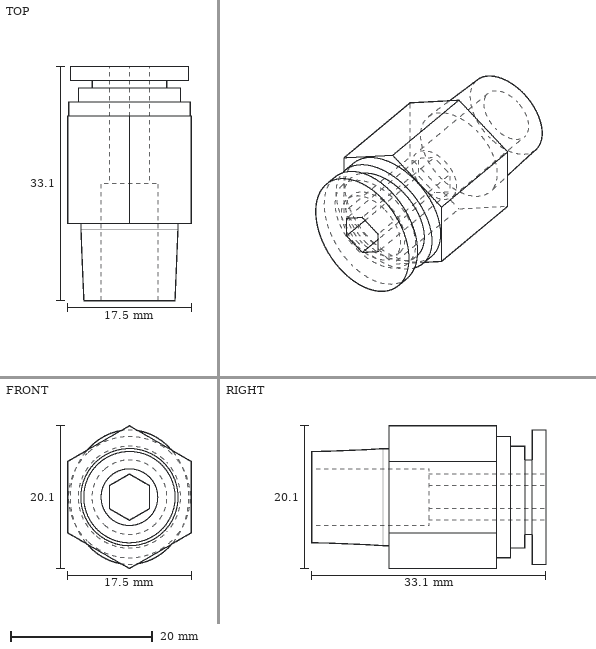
import cadquery as cq
import math

total_length = 33.05
taper_length = 10.05
collar_length = 0.83
hex_length = 15.2
shoulder_length = 1.98
step_length = 1.98
neck_length = 1.02

front_y = -total_length / 2
collar_y = front_y + taper_length
hex_y = collar_y + collar_length
shoulder_y = hex_y + hex_length
step_y = shoulder_y + shoulder_length
neck_y = step_y + step_length
ring_y = neck_y + neck_length
ring_length = total_length / 2 - ring_y

taper_tip_diameter = 12.9
collar_diameter = 13.7
hex_across_flats = 17.45
shoulder_diameter = 17.15
step_diameter = 14.4
neck_diameter = 10.55
ring_width = 16.7
ring_height = 19.0

bore_diameter = 8.0
bore_depth = 16.52
socket_across_flats = 5.62


def section(y):
    """Workplane facing -Y at the given station."""
    return cq.Workplane("XZ", origin=(0, y, 0))


def cylinder(y, diameter, length):
    return section(y).circle(diameter / 2).extrude(-length)


def hexagon(y, across_flats, length):
    """Hexagonal prism along Y with two flats facing +X and -X."""
    across_corners = across_flats / math.cos(math.pi / 6)
    return section(y).transformed(rotate=(0, 0, 90)).polygon(6, across_corners).extrude(-length)


tapered_end = (
    section(front_y)
    .circle(taper_tip_diameter / 2)
    .workplane(offset=-taper_length)
    .circle(collar_diameter / 2)
    .loft(ruled=True)
)

release_ring = section(ring_y).ellipse(ring_width / 2, ring_height / 2).extrude(-ring_length)

body = (
    tapered_end
    .union(cylinder(collar_y, collar_diameter, collar_length))
    .union(hexagon(hex_y, hex_across_flats, hex_length))
    .union(cylinder(shoulder_y, shoulder_diameter, shoulder_length))
    .union(cylinder(step_y, step_diameter, step_length))
    .union(cylinder(neck_y, neck_diameter, neck_length))
    .union(release_ring)
)

result = (
    body
    .cut(cylinder(front_y, bore_diameter, bore_depth))
    .cut(hexagon(front_y, socket_across_flats, total_length))
)